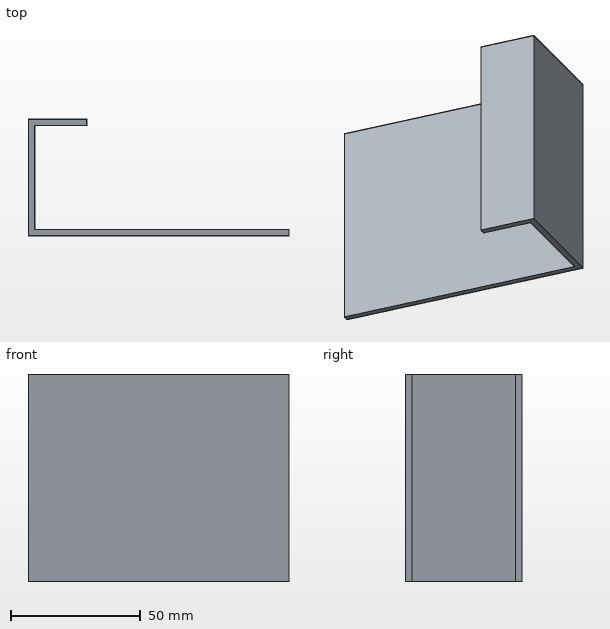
import cadquery as cq

length = 100.5
depth = 45.0
height = 80.0

thickness = 2.5
lip_length = 22.5

profile = [
    (0, 0),
    (length, 0),
    (length, thickness),
    (thickness, thickness),
    (thickness, depth - thickness),
    (lip_length, depth - thickness),
    (lip_length, depth),
    (0, depth),
]

result = cq.Workplane("XY").polyline(profile).close().extrude(height)